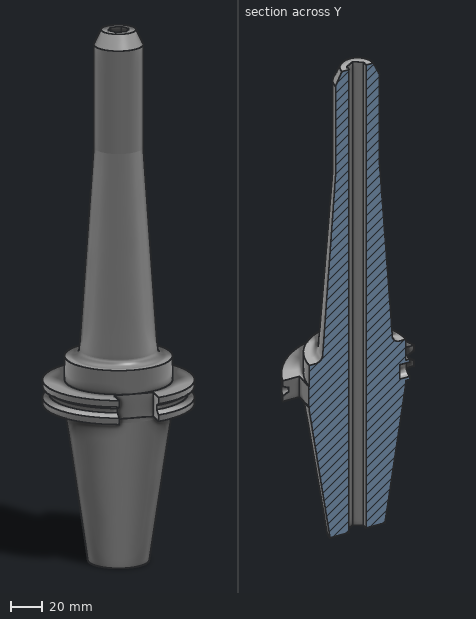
import cadquery as cq
import math

total_height = 355.5
gauge_line_z = 101.7
flange_bottom_z = 105.0
flange_height = 16.0
flange_top_z = flange_bottom_z + flange_height
flange_middle_z = flange_bottom_z + flange_height / 2
collar_top_z = 137.0
cone_top_z = 276.5
tip_height = 10.0

taper_small_radius = 20.0
collar_radius = 35.0
flange_radius = 49.0
cone_base_radius = 25.5
nose_radius = 16.0
tip_radius = 11.5
cone_fillet_radius = 5.0

selection_margin = 1.8

groove_depth = 4.3
groove_opening = 7.5
groove_floor_width = 3.0

slot_width = 26.3
left_slot_floor = 37.7
right_slot_floor = 35.2

bore_across_flats = 12.0
side_hole_radius = 5.5
side_hole_depth = 7.0


def turned_body():
    """Taper, flange, collar, cone and nose revolved about Z."""
    profile = (
        cq.Workplane("XZ")
        .moveTo(0, 0)
        .lineTo(taper_small_radius, 0)
        .lineTo(collar_radius, gauge_line_z)
        .lineTo(collar_radius, flange_bottom_z)
        .lineTo(flange_radius, flange_bottom_z)
        .lineTo(flange_radius, flange_top_z)
        .lineTo(collar_radius, flange_top_z)
        .lineTo(collar_radius, collar_top_z)
        .lineTo(cone_base_radius, collar_top_z)
        .lineTo(nose_radius, cone_top_z)
        .lineTo(nose_radius, total_height - tip_height)
        .lineTo(tip_radius, total_height)
        .lineTo(0, total_height)
        .close()
    )
    body = profile.revolve(360, (0, 0), (0, 1))
    reach = cone_base_radius + selection_margin
    cone_foot = cq.selectors.BoxSelector(
        (-reach, -reach, collar_top_z - selection_margin),
        (reach, reach, collar_top_z + selection_margin),
        boundingbox=True,
    )
    return body.edges(cone_foot).fillet(cone_fillet_radius)


def flange_groove():
    """Ring with a trapezoid section, centred on the flange height."""
    floor_radius = flange_radius - groove_depth
    return (
        cq.Workplane("XZ")
        .moveTo(flange_radius, flange_middle_z - groove_opening / 2)
        .lineTo(floor_radius, flange_middle_z - groove_floor_width / 2)
        .lineTo(floor_radius, flange_middle_z + groove_floor_width / 2)
        .lineTo(flange_radius, flange_middle_z + groove_opening / 2)
        .close()
        .revolve(360, (0, 0), (0, 1))
    )


def drive_slot(floor_distance, side):
    """Block that opens the flange outward from its slot floor; side is -1 for -X and 1 for +X."""
    length = flange_radius - floor_distance
    return cq.Workplane("XY").box(length, slot_width, flange_height).translate(
        (side * (floor_distance + length / 2), 0, flange_middle_z)
    )


def side_hole():
    """Blind hole from the -X slot floor toward the axis."""
    return (
        cq.Workplane("YZ", origin=(-left_slot_floor, 0, flange_middle_z))
        .circle(side_hole_radius)
        .extrude(side_hole_depth)
    )


def center_bore():
    """Hexagonal through bore along the axis, with two of its flats facing -X and +X."""
    across_corners = bore_across_flats / math.cos(math.pi / 6)
    hexagon = cq.Workplane("XY").polygon(6, across_corners).extrude(total_height)
    return hexagon.rotate((0, 0, 0), (0, 0, 1), 30)


result = (
    turned_body()
    .cut(flange_groove())
    .cut(drive_slot(left_slot_floor, -1))
    .cut(drive_slot(right_slot_floor, 1))
    .cut(side_hole())
    .cut(center_bore())
)